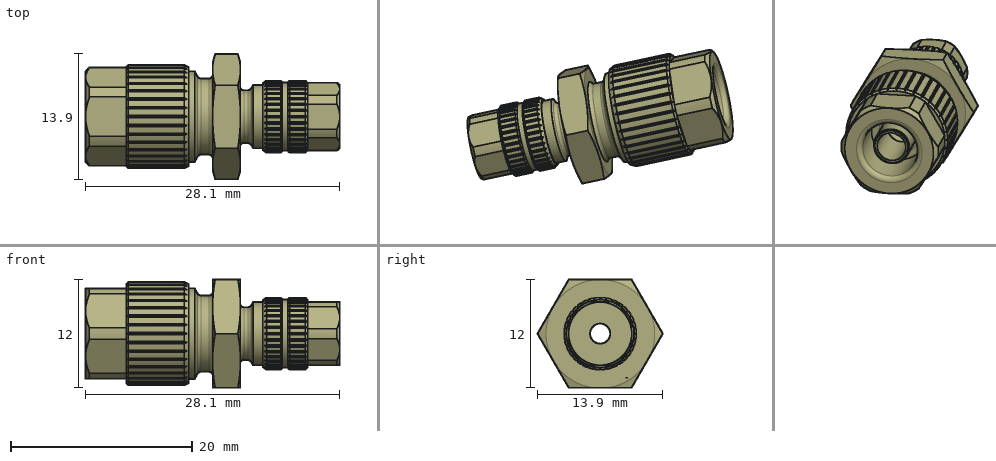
import cadquery as cq
import math

TOTAL_LENGTH = 28.1

NUT_END = 4.5
NUT_FLATS = 10.0
NUT_CORNER_RADIUS = 5.45
NUT_FACE_RADIUS = 4.97
NUT_CHAMFER = 0.45

SLEEVE_END = 11.45
SLEEVE_RADIUS = 5.7
SLEEVE_END_RADIUS = 5.45
SLEEVE_FRONT_CHAMFER = 0.25
SLEEVE_REAR_CHAMFER = 0.53

COLLAR_END = 12.05
COLLAR_RADIUS = 5.03
WAIST_RADIUS = 4.22
WAIST_START = 12.73
WAIST_END = 13.6
WAIST_FLARE = 0.3
COLLAR_CONE_LENGTH = 0.3
COLLAR_CONE_RISE = 0.55

FLANGE_START = 14.05
FLANGE_END = 17.1
FLANGE_FLATS = 12.0
FLANGE_CHAMFER = 0.28

NECK_RADIUS = 2.92
NECK_START = 17.5
NECK_END = 17.93
NECK_FLARE = 0.25
SHOULDER_START = 18.52
SHOULDER_RADIUS = 3.5
SHOULDER_CONE_LENGTH = 0.17
SHOULDER_CONE_RISE = 0.3

GRIP_START = 19.59
GRIP_END = 24.53
GRIP_RADIUS = 4.0
GRIP_FRONT_RADIUS = 3.7
GRIP_REAR_RADIUS = 3.75
GRIP_FRONT_CHAMFER = 0.42
GRIP_REAR_CHAMFER = 0.25
BAND_START = 21.75
BAND_END = 22.35
BAND_RADIUS = 3.8
BAND_CHAMFER = 0.2

SMALL_NUT_FLATS = 7.0
SMALL_NUT_CORNER_RADIUS = 3.77
SMALL_NUT_FACE_RADIUS = 3.48
SMALL_NUT_CHAMFER = 0.35

KNURL_COUNT = 36
KNURL_DEPTH = 0.126

SOCKET_RADIUS = 3.1
SOCKET_DEPTH = 6.18
SOCKET_LIP_RADIUS = 0.6
TUBE_TIP = 1.43
TUBE_RADIUS = 2.0
TUBE_CHAMFER = 0.15
TUBE_ROOT_FILLET = 0.3
TUBE_BORE_RADIUS = 1.6
TUBE_BORE_END = 7.87
HOLE_RADIUS = 1.1
HOLE_CONE_LENGTH = 0.3


def hexagon(flats, start, end):
    """Hexagonal prism along X with two flats facing +Z and -Z."""
    across_corners = flats / math.cos(math.pi / 6)
    return cq.Workplane("YZ", origin=(start, 0, 0)).polygon(6, across_corners).extrude(end - start)


def turned(points):
    """Solid of revolution about X from (x, radius) points, closed down to the axis."""
    first_x = points[0][0]
    last_x = points[-1][0]
    outline = cq.Workplane("XY").moveTo(first_x, 0)
    for x, radius in points:
        outline = outline.lineTo(x, radius)
    return outline.lineTo(last_x, 0).close().revolve(360, (0, 0, 0), (1, 0, 0))


def clamp_nut():
    blank = turned([
        (0, NUT_FACE_RADIUS),
        (NUT_CHAMFER, NUT_CORNER_RADIUS),
        (NUT_END, NUT_CORNER_RADIUS),
    ])
    return blank.intersect(hexagon(NUT_FLATS, 0, NUT_END))


def small_nut():
    blank = turned([
        (GRIP_END, SMALL_NUT_CORNER_RADIUS),
        (TOTAL_LENGTH - SMALL_NUT_CHAMFER, SMALL_NUT_CORNER_RADIUS),
        (TOTAL_LENGTH, SMALL_NUT_FACE_RADIUS),
    ])
    return blank.intersect(hexagon(SMALL_NUT_FLATS, GRIP_END, TOTAL_LENGTH))


def flange():
    face_radius = FLANGE_FLATS / 2
    corner_radius = face_radius / math.cos(math.pi / 6)
    blank = turned([
        (FLANGE_START, face_radius),
        (FLANGE_START + FLANGE_CHAMFER, corner_radius),
        (FLANGE_END - FLANGE_CHAMFER, corner_radius),
        (FLANGE_END, face_radius),
    ])
    return blank.intersect(hexagon(FLANGE_FLATS, FLANGE_START, FLANGE_END))


def large_sleeve():
    return turned([
        (NUT_END, SLEEVE_END_RADIUS),
        (NUT_END + SLEEVE_FRONT_CHAMFER, SLEEVE_RADIUS),
        (SLEEVE_END - SLEEVE_REAR_CHAMFER, SLEEVE_RADIUS),
        (SLEEVE_END, SLEEVE_END_RADIUS),
    ])


def small_sleeve():
    return turned([
        (GRIP_START, GRIP_FRONT_RADIUS),
        (GRIP_START + GRIP_FRONT_CHAMFER, GRIP_RADIUS),
        (BAND_START - BAND_CHAMFER, GRIP_RADIUS),
        (BAND_START, BAND_RADIUS),
        (BAND_END, BAND_RADIUS),
        (BAND_END + BAND_CHAMFER, GRIP_RADIUS),
        (GRIP_END - GRIP_REAR_CHAMFER, GRIP_RADIUS),
        (GRIP_END, GRIP_REAR_RADIUS),
    ])


def waist():
    """Collar and waist between the large sleeve and the flange."""
    outline = (
        cq.Workplane("XY")
        .moveTo(SLEEVE_END, 0)
        .lineTo(SLEEVE_END, COLLAR_RADIUS)
        .lineTo(COLLAR_END, COLLAR_RADIUS)
        .lineTo(COLLAR_END + COLLAR_CONE_LENGTH, COLLAR_RADIUS - COLLAR_CONE_RISE)
        .tangentArcPoint((WAIST_START, WAIST_RADIUS), relative=False)
        .lineTo(WAIST_END, WAIST_RADIUS)
        .tangentArcPoint((FLANGE_START, WAIST_RADIUS + WAIST_FLARE), relative=False)
        .lineTo(FLANGE_START, 0)
        .close()
    )
    return outline.revolve(360, (0, 0, 0), (1, 0, 0))


def neck():
    """Neck behind the flange, rising to the plain shoulder before the small sleeve."""
    outline = (
        cq.Workplane("XY")
        .moveTo(GRIP_START, 0)
        .lineTo(GRIP_START, SHOULDER_RADIUS)
        .lineTo(SHOULDER_START, SHOULDER_RADIUS)
        .lineTo(SHOULDER_START - SHOULDER_CONE_LENGTH, SHOULDER_RADIUS - SHOULDER_CONE_RISE)
        .tangentArcPoint((NECK_END, NECK_RADIUS), relative=False)
        .lineTo(NECK_START, NECK_RADIUS)
        .tangentArcPoint((FLANGE_END, NECK_RADIUS + NECK_FLARE), relative=False)
        .lineTo(FLANGE_END, 0)
        .close()
    )
    return outline.revolve(360, (0, 0, 0), (1, 0, 0))


def knurl(start, end, radius):
    """Ring of V grooves along X, cut to KNURL_DEPTH below the given radius."""
    cutter_height = 2 * KNURL_DEPTH
    root_radius = radius - KNURL_DEPTH
    groove = (
        cq.Workplane("YZ", origin=(start, 0, 0))
        .moveTo(root_radius, 0)
        .lineTo(root_radius + cutter_height, cutter_height)
        .lineTo(root_radius + cutter_height, -cutter_height)
        .close()
        .extrude(end - start)
    )
    grooves = [
        groove.rotate((0, 0, 0), (1, 0, 0), index * 360 / KNURL_COUNT).val()
        for index in range(KNURL_COUNT)
    ]
    return cq.Workplane(cq.Compound.makeCompound(grooves))


def socket():
    """Socket cavity around the standing tube, with a rounded mouth."""
    mouth_radius = SOCKET_RADIUS + SOCKET_LIP_RADIUS
    outline = (
        cq.Workplane("XY")
        .lineTo(0, mouth_radius)
        .radiusArc((SOCKET_LIP_RADIUS, SOCKET_RADIUS), -SOCKET_LIP_RADIUS)
        .lineTo(SOCKET_DEPTH, SOCKET_RADIUS)
        .lineTo(SOCKET_DEPTH, TUBE_RADIUS + TUBE_ROOT_FILLET)
        .radiusArc((SOCKET_DEPTH - TUBE_ROOT_FILLET, TUBE_RADIUS), TUBE_ROOT_FILLET)
        .lineTo(TUBE_TIP + TUBE_CHAMFER, TUBE_RADIUS)
        .lineTo(TUBE_TIP, TUBE_RADIUS - TUBE_CHAMFER)
        .lineTo(TUBE_TIP, 0)
        .close()
    )
    return outline.revolve(360, (0, 0, 0), (1, 0, 0))


def through_bore():
    """Tube bore, narrowing through a blunt cone to the through hole."""
    return turned([
        (TUBE_TIP, TUBE_BORE_RADIUS),
        (TUBE_BORE_END, TUBE_BORE_RADIUS),
        (TUBE_BORE_END + HOLE_CONE_LENGTH, HOLE_RADIUS),
        (TOTAL_LENGTH, HOLE_RADIUS),
    ])


large_grip = large_sleeve().cut(knurl(NUT_END, SLEEVE_END, SLEEVE_RADIUS))
small_grip = small_sleeve().cut(knurl(GRIP_START, GRIP_END, GRIP_RADIUS))

body = clamp_nut()
for section in (large_grip, waist(), flange(), neck(), small_grip, small_nut()):
    body = body.union(section)

result = body.cut(socket()).cut(through_bore())